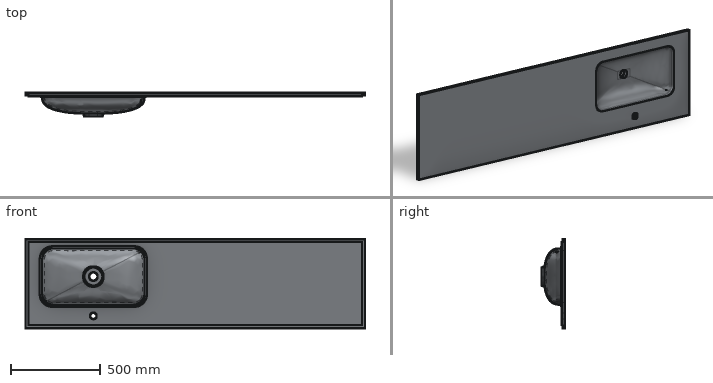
import cadquery as cq
import math

top_length = 1900.0
top_width = 500.0
edge_thickness = 15.0
step_inset = 18.0
step_height = 5.0
slab_thickness = edge_thickness + step_height

basin_x = 380.0
basin_z = 290.0
basin_length = 572.0
basin_width = 316.0
basin_floor = 118.0
basin_corner_radius = 62.0
basin_roundness = 2.5
wall_thickness = 12.0

rim_length = 600.0
rim_width = 340.0
rim_corner_radius = 74.0
rim_height = 5.0
bowl_start = slab_thickness + rim_height
bowl_depth = basin_floor - bowl_start

boss_root_diameter = 116.0
boss_tip_diameter = 101.0
boss_reach = 134.0
boss_height = 20.0
drain_diameter = 46.0

tap_z = 70.0
tap_diameter = 35.0

section_angles = [0, 15, 30, 45, 60, 75, 84]


def plane_at(depth, x=0.0, z=0.0):
    """Workplane facing -Y, `depth` below the upper face, with local x along +X and y along +Z."""
    return cq.Workplane(cq.Plane(origin=(x, -depth, z), xDir=(1, 0, 0), normal=(0, -1, 0)))


def make_slab():
    """Plate with a slightly smaller step on its underside."""
    middle = (top_length / 2, top_width / 2)
    plate = plane_at(0).center(*middle).rect(top_length, top_width).extrude(edge_thickness)
    raised = (
        plane_at(edge_thickness)
        .center(*middle)
        .rect(top_length - 2 * step_inset, top_width - 2 * step_inset)
        .extrude(step_height)
    )
    return plate.union(raised)


def basin_section(depth, length, width, radius):
    """Rounded rectangle at `depth`, as two smooth halves that join at two opposite corners."""
    corner_x = length / 2 - radius
    corner_z = width / 2 - radius
    corners = [
        (corner_x, corner_z, (45, 67.5, 90)),
        (-corner_x, corner_z, (90, 112.5, 135, 157.5, 180)),
        (-corner_x, -corner_z, (180, 202.5, 225)),
    ]
    halves = []
    for side in (1, -1):
        points = []
        tangents = []
        for x, z, angles in corners:
            for angle in angles:
                across = math.cos(math.radians(angle))
                along = math.sin(math.radians(angle))
                point_x = basin_x + side * (x + radius * across)
                point_z = basin_z + side * (z + radius * along)
                points.append(cq.Vector(point_x, -depth, point_z))
                tangents.append(cq.Vector(-side * along, 0, side * across))
        halves.append(cq.Edge.makeSpline(points, tangents=tangents, scale=False))
    return cq.Wire.assembleEdges(halves)


def make_bowl(inset):
    """Bowl solid, `inset` inside the outer basin surface, starting where the rim ends."""
    length = basin_length - 2 * inset
    width = basin_width - 2 * inset
    depth = bowl_depth - inset
    radius = basin_corner_radius - inset
    sections = []
    for angle in section_angles:
        turn = math.radians(angle)
        spread = math.cos(turn) ** (2 / basin_roundness)
        level = bowl_start + depth * math.sin(turn) ** (2 / basin_roundness)
        sections.append(basin_section(level, length * spread, width * spread, radius * spread))
    return cq.Workplane(cq.Solid.makeLoft(sections))


def make_rim():
    """Sloping skirt that narrows from the slab's underside to the mouth of the bowl."""
    root = basin_section(slab_thickness, rim_length, rim_width, rim_corner_radius)
    mouth = basin_section(bowl_start, basin_length, basin_width, basin_corner_radius)
    return cq.Workplane(cq.Solid.makeLoft([root, mouth], ruled=True))


def make_opening():
    """Straight-sided opening through the slab and rim, matching the mouth of the inner bowl."""
    outline = basin_section(
        0,
        basin_length - 2 * wall_thickness,
        basin_width - 2 * wall_thickness,
        basin_corner_radius - wall_thickness,
    )
    return cq.Workplane(cq.Solid.extrudeLinear(outline, [], cq.Vector(0, -bowl_start, 0)))


def make_drain_boss():
    """Tapered boss whose root is sunk into the bowl floor."""
    return (
        plane_at(boss_reach - boss_height, basin_x, basin_z)
        .circle(boss_root_diameter / 2)
        .workplane(offset=boss_height)
        .circle(boss_tip_diameter / 2)
        .loft()
    )


def make_round_hole(z, diameter):
    """Cutter through the whole part, on the basin's centre line along Z."""
    return plane_at(0, basin_x, z).circle(diameter / 2).extrude(boss_reach)


slab = make_slab().union(make_rim()).cut(make_opening())
bowl = make_bowl(0).union(make_drain_boss()).cut(make_bowl(wall_thickness))
washbasin = slab.union(bowl)
washbasin = washbasin.cut(make_round_hole(basin_z, drain_diameter))
washbasin = washbasin.cut(make_round_hole(tap_z, tap_diameter))
result = cq.Workplane(washbasin.solids().val())